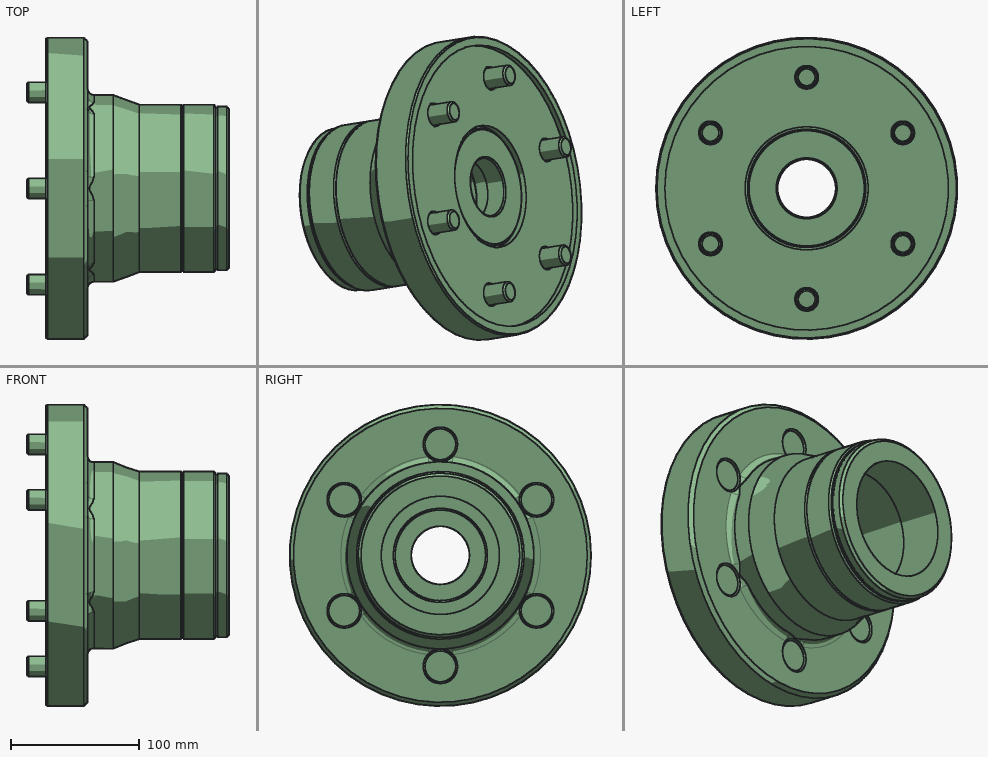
import cadquery as cq
import math


flange_radius = 117.0
flange_thickness = 32.5
rim_bevel_length = 1.6
rim_bevel_depth = 1.0
back_chamfer = 3.0
face_recess_radius = 110.0
face_recess_depth = 4.2

barrel_root_radius = 72.5
barrel_radius = 65.0
barrel_fillet = 5.0
taper_start = 52.2
taper_end = 72.5

joint_x = 106.0
joint_chamfer = 1.2

main_bore_radius = 45.9
mouth_radius = 47.7
mouth_depth = 9.4

shoulder_x = 131.7
shoulder_radius = 63.6
shoulder_chamfer = barrel_radius - shoulder_radius
neck_radius = 62.7
neck_width = 1.6
end_land_radius = shoulder_radius
end_chamfer = 2.0
end_x = 142.3

bush_front = 6.3
bush_back = 43.5
bush_edge_chamfer = 1.2
bush_bore_radius = 22.5
bush_cavity_radius = 35.0
bush_cavity_start = 22.7
bush_back_chamfer = 1.5

screw_count = 6
screw_circle_radius = 86.0
screw_radius = 8.0
screw_tip_x = -14.7
screw_tip_chamfer = 1.5
screw_head_radius = 12.0
screw_head_height = 16.0
clearance_radius = 9.1
counterbore_radius = 13.3
counterbore_depth = 17.0
seat_x = flange_thickness - counterbore_depth

fillet_clearance = 0.05
ball_path_radius = barrel_root_radius + barrel_fillet + fillet_clearance
fillet_root = 1.2
runout_steps = 3
runout_half_angle = math.acos(
    (ball_path_radius**2 + screw_circle_radius**2 - counterbore_radius**2)
    / (2 * ball_path_radius * screw_circle_radius)
)


def turned(outline):
    """Revolve an (x, radius) outline about the X axis."""
    return outline.close().revolve(360, (0, 0, 0), (1, 0, 0))


def disc(x_start, x_end, radius):
    """Solid cylinder on the X axis."""
    return cq.Workplane("YZ").workplane(offset=x_start).circle(radius).extrude(x_end - x_start)


def turn_to_screw(body, index):
    """Turn a body from the top of the screw circle to the place of another screw."""
    return body.rotate((0, 0, 0), (1, 0, 0), index * 360 / screw_count)


def at_screw(body, index):
    """Move a body from the X axis to one place on the screw circle."""
    return turn_to_screw(body.translate((0, 0, screw_circle_radius)), index)


def make_hub_blank():
    """Flange and tapered barrel with the stepped bore."""
    outline = (
        cq.Workplane("XY")
        .moveTo(mouth_depth, main_bore_radius)
        .lineTo(mouth_depth, mouth_radius)
        .lineTo(face_recess_depth, mouth_radius)
        .lineTo(face_recess_depth, face_recess_radius)
        .lineTo(0, face_recess_radius)
        .lineTo(0, flange_radius - rim_bevel_depth)
        .lineTo(rim_bevel_length, flange_radius)
        .lineTo(flange_thickness - back_chamfer, flange_radius)
        .lineTo(flange_thickness, flange_radius - back_chamfer)
        .lineTo(flange_thickness, barrel_root_radius)
        .lineTo(taper_start, barrel_root_radius)
        .lineTo(taper_end, barrel_radius)
        .lineTo(joint_x - joint_chamfer, barrel_radius)
        .lineTo(joint_x, barrel_radius - joint_chamfer)
        .lineTo(joint_x, main_bore_radius)
    )
    return turned(outline)


def make_screw_cut():
    """Clearance hole and counterbore for one screw, on the X axis."""
    hole = disc(0, flange_thickness, clearance_radius)
    counterbore = disc(seat_x, flange_thickness, counterbore_radius)
    return hole.union(counterbore)


def fillet_section(foot_radius, angle):
    """Cross-section of the barrel fillet in the plane at an angle (radians) from the top.

    A ball of the fillet radius rests against the barrel and meets the flange at foot_radius.
    The section reaches into the barrel and the flange by fillet_root so that it joins them.
    """
    ball_x = flange_thickness + math.sqrt(barrel_fillet**2 - (ball_path_radius - foot_radius) ** 2)
    foot_turn = math.atan2(ball_x - flange_thickness, ball_path_radius - foot_radius)
    middle_x = ball_x - barrel_fillet * math.sin(foot_turn / 2)
    middle_radius = ball_path_radius - barrel_fillet * math.cos(foot_turn / 2)
    barrel_touch = ball_path_radius - barrel_fillet
    plane = cq.Plane(
        origin=(0, 0, 0),
        xDir=(1, 0, 0),
        normal=(0, -math.cos(angle), math.sin(angle)),
    )
    return (
        cq.Workplane(plane)
        .moveTo(flange_thickness - fillet_root, barrel_root_radius - fillet_root)
        .lineTo(flange_thickness - fillet_root, foot_radius)
        .lineTo(flange_thickness, foot_radius)
        .threePointArc((middle_x, middle_radius), (ball_x, barrel_touch))
        .lineTo(ball_x, barrel_root_radius - fillet_root)
        .close()
    )


def rim_distance(angle):
    """Distance from the X axis to the near rim of the top counterbore, at an angle from the top."""
    across = screw_circle_radius * math.sin(angle)
    return screw_circle_radius * math.cos(angle) - math.sqrt(counterbore_radius**2 - across**2)


def make_fillet_runout():
    """Stretch of fillet beside the top counterbore, where the ball rests on the counterbore rim."""
    wires = []
    for step in range(-runout_steps, runout_steps + 1):
        angle = runout_half_angle * step / runout_steps
        wires.append(fillet_section(rim_distance(angle), angle).wire().val())
    return cq.Workplane(cq.Solid.makeLoft(wires))


def make_full_fillet():
    """Stretch of full fillet from the top counterbore to the next one."""
    sweep = 360 / screw_count - 2 * math.degrees(runout_half_angle)
    section = fillet_section(ball_path_radius, -runout_half_angle)
    return section.revolve(sweep, (0, 0, 0), (1, 0, 0))


def make_hub():
    hub = make_hub_blank()
    full_fillet = make_full_fillet()
    runout = make_fillet_runout()
    for index in range(screw_count):
        hub = hub.union(turn_to_screw(full_fillet, index))
        hub = hub.union(turn_to_screw(runout, index))
    screw_cut = make_screw_cut()
    for index in range(screw_count):
        hub = hub.cut(at_screw(screw_cut, index))
    return hub


def make_end_sleeve():
    """Sleeve on the end of the barrel, with a narrow neck before its end land."""
    neck_end = shoulder_x + neck_width
    outline = (
        cq.Workplane("XY")
        .moveTo(joint_x, main_bore_radius)
        .lineTo(joint_x, barrel_radius - joint_chamfer)
        .lineTo(joint_x + joint_chamfer, barrel_radius)
        .lineTo(shoulder_x - shoulder_chamfer, barrel_radius)
        .lineTo(shoulder_x, shoulder_radius)
        .lineTo(shoulder_x, neck_radius)
        .lineTo(neck_end, neck_radius)
        .lineTo(neck_end, end_land_radius)
        .lineTo(end_x - end_chamfer, end_land_radius)
        .lineTo(end_x, end_land_radius - end_chamfer)
        .lineTo(end_x, main_bore_radius)
    )
    return turned(outline)


def make_bush():
    """Bush in the mouth of the hub, with a small front bore opening into a wider cavity."""
    outline = (
        cq.Workplane("XY")
        .moveTo(bush_front, bush_bore_radius + bush_edge_chamfer)
        .lineTo(bush_front, main_bore_radius - bush_edge_chamfer)
        .lineTo(bush_front + bush_edge_chamfer, main_bore_radius)
        .lineTo(bush_back, main_bore_radius)
        .lineTo(bush_back, bush_cavity_radius + bush_back_chamfer)
        .lineTo(bush_back - bush_back_chamfer, bush_cavity_radius)
        .lineTo(bush_cavity_start, bush_cavity_radius)
        .lineTo(bush_cavity_start, bush_bore_radius)
        .lineTo(bush_front + bush_edge_chamfer, bush_bore_radius)
    )
    return turned(outline)


def make_screw():
    """Cap screw on the X axis, its head resting on the counterbore seat."""
    shank = disc(screw_tip_x, seat_x, screw_radius).faces("<X").chamfer(screw_tip_chamfer)
    head = disc(seat_x, seat_x + screw_head_height, screw_head_radius)
    return shank.union(head)


hub = make_hub()
end_sleeve = make_end_sleeve()
bush = make_bush()
screw = make_screw()
screws = [at_screw(screw, index).val() for index in range(screw_count)]

result = cq.Compound.makeCompound([hub.val(), end_sleeve.val(), bush.val(), *screws])